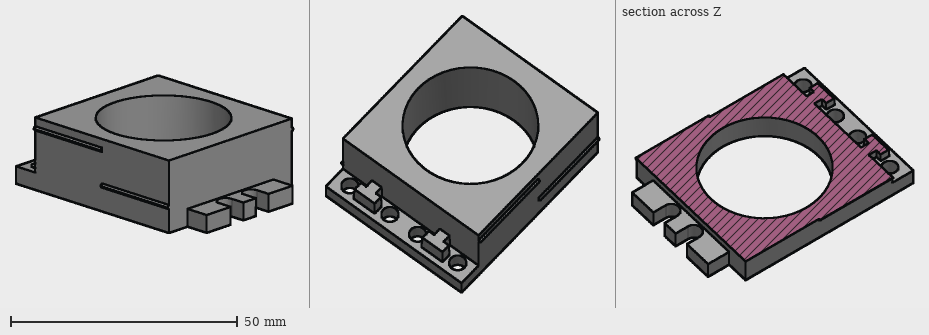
import cadquery as cq

overall_length = 53.0
overall_width = 40.0
block_length = 41.2
block_width = 39.0
block_height = 17.0
bore_diameter = 30.0

flange_length = (overall_length - block_length) / 2
hole_flange_height = 4.1
slot_flange_height = 4.2
slot_flange_width = 27.2

fastener_inset = 3.5
inner_fastener_y = 4.0
outer_hole_y = 15.5
hole_diameter = 3.8
slot_width = 4.0

lug_y = (inner_fastener_y + outer_hole_y) / 2
lug_inset = 1.5
lug_height = 3.9
lug_draft = 0.17
lug_head_width = 6.1
lug_head_depth = 2.4
lug_stem_width = 3.1

rib_projection = (overall_width - block_width) / 2
rib_base = 1.0
upper_rib_z = 14.45
lower_rib_z = 6.1

end_x = overall_length / 2
block_end_x = block_length / 2
side_y = block_width / 2


def box(x_min, length, width, height):
    """Box standing on Z = 0, centred in Y and starting at x_min."""
    slab = cq.Workplane("XY").box(length, width, height, centered=(False, True, False))
    return slab.translate((x_min, 0, 0))


def lug_outline(draft):
    """T outline points; draft moves every face inward except the back of the head and the stem end."""
    front_x = -end_x + lug_inset + draft
    head_back_x = -end_x + lug_inset + lug_head_depth
    head_half = lug_head_width / 2 - draft
    stem_half = lug_stem_width / 2 - draft
    return [
        (front_x, -head_half),
        (head_back_x, -head_half),
        (head_back_x, -stem_half),
        (-block_end_x, -stem_half),
        (-block_end_x, stem_half),
        (head_back_x, stem_half),
        (head_back_x, head_half),
        (front_x, head_half),
    ]


def lug(center_y):
    """Drafted T-shaped lug rising from the hole flange and joining the block."""
    return (
        cq.Workplane("XY")
        .workplane(offset=hole_flange_height)
        .polyline(lug_outline(0))
        .close()
        .workplane(offset=lug_height)
        .polyline(lug_outline(lug_draft))
        .close()
        .loft(ruled=True)
        .translate((0, center_y, 0))
    )


def front_rib(x_min, center_z):
    """V-shaped rib along half of the -Y side."""
    return (
        cq.Workplane("YZ", origin=(x_min, -side_y, center_z))
        .polyline([(0, -rib_base / 2), (-rib_projection, 0), (0, rib_base / 2)])
        .close()
        .extrude(block_length / 2)
    )


def hole(center_y):
    """Cutter for a through hole in the -X flange."""
    return (
        cq.Workplane("XY")
        .center(-end_x + fastener_inset, center_y)
        .circle(hole_diameter / 2)
        .extrude(hole_flange_height)
    )


def slot(center_y):
    """Cutter for a round-ended slot open at the +X end."""
    round_x = end_x - fastener_inset
    round_end = cq.Workplane("XY").center(round_x, 0).circle(slot_width / 2).extrude(slot_flange_height)
    opening = box(round_x, fastener_inset, slot_width, slot_flange_height)
    return round_end.union(opening).translate((0, center_y, 0))


result = box(-block_end_x, block_length, block_width, block_height)
result = result.union(box(-end_x, flange_length, block_width, hole_flange_height))
result = result.union(box(block_end_x, flange_length, slot_flange_width, slot_flange_height))

for side in (-1, 1):
    result = result.union(lug(side * lug_y))
    result = result.cut(hole(side * inner_fastener_y))
    result = result.cut(hole(side * outer_hole_y))
    result = result.cut(slot(side * inner_fastener_y))

for rib in (front_rib(-block_end_x, upper_rib_z), front_rib(0, lower_rib_z)):
    result = result.union(rib)
    result = result.union(rib.rotate((0, 0, 0), (0, 0, 1), 180))

result = result.cut(cq.Workplane("XY").circle(bore_diameter / 2).extrude(block_height))